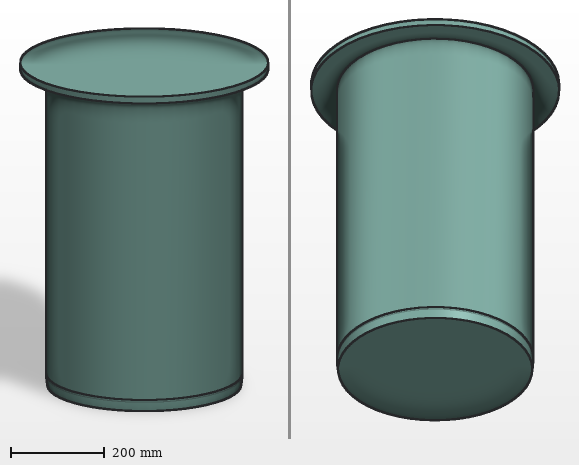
import cadquery as cq

total_height = 715.0
flange_diameter = 530.0
flange_thickness = 15.0
column_diameter = 420.0
foot_height = 26.0
foot_land_height = 5.0
foot_bottom_diameter = 415.0

taper_height = foot_height - foot_land_height
column_height = total_height - flange_thickness - foot_height


def make_flanged_column():
    """Round column standing on the foot, with a wide flange at its top."""
    column = cq.Workplane("XY").workplane(offset=foot_height).circle(column_diameter / 2).extrude(column_height)
    return column.faces(">Z").workplane().circle(flange_diameter / 2).extrude(flange_thickness)


def make_foot():
    """Disc flush with the column, tapering slightly below a short straight land."""
    column_radius = column_diameter / 2
    half_profile = (
        cq.Workplane("XZ")
        .moveTo(0, 0)
        .lineTo(foot_bottom_diameter / 2, 0)
        .lineTo(column_radius, taper_height)
        .lineTo(column_radius, foot_height)
        .lineTo(0, foot_height)
        .close()
    )
    return half_profile.revolve(360, (0, 0, 0), (0, 1, 0))


flanged_column = make_flanged_column()
foot = make_foot()

result = cq.Compound.makeCompound([flanged_column.val(), foot.val()])